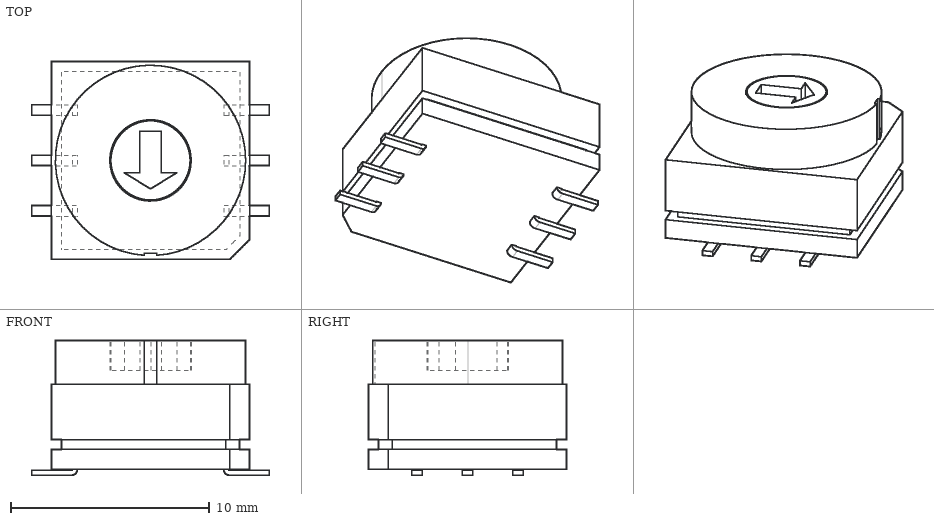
import cadquery as cq

body_side = 10.0
corner_cut = 1.0
neck_inset = 0.5
neck_side = body_side - 2 * neck_inset
neck_corner_cut = corner_cut - neck_inset * (2 - 2 ** 0.5)

base_bottom = 0.3
base_top = 1.31
body_bottom = 1.8
body_top = 4.6
total_height = 6.8

knob_diameter = 9.6
notch_width = 0.61
notch_depth = 0.12

bore_diameter = 4.1
rotor_diameter = 4.0
ring_groove_depth = 1.5

arrow_depth = ring_groove_depth
arrow_tail_y = 1.46
arrow_shoulder_y = -0.62
arrow_tip_y = -1.44
arrow_shaft_width = 1.1
arrow_head_width = 2.64

lead_span = 12
lead_inner_x = 3.68
lead_width = 0.54
lead_thickness = 0.26
lead_bend_radius = base_bottom
lead_pitch = 2.55
leads_per_side = 3


def housing_plate(side, cut, bottom, top):
    """Square plate whose +X -Y vertical edge is chamfered."""
    return (
        cq.Workplane("XY")
        .workplane(offset=bottom)
        .rect(side, side)
        .extrude(top - bottom)
        .edges("|Z and >X and <Y")
        .chamfer(cut)
    )


def knob():
    """Round knob with the rim notch along its full height."""
    height = total_height - body_top
    disc = cq.Workplane("XY").workplane(offset=body_top).circle(knob_diameter / 2).extrude(height)
    notch = (
        cq.Workplane("XY")
        .workplane(offset=body_top)
        .center(0, -knob_diameter / 2)
        .rect(notch_width, 2 * notch_depth)
        .extrude(height)
    )
    return disc.cut(notch)


def ring_groove():
    """Thin ring of clearance between the knob bore and the rotor."""
    return (
        cq.Workplane("XY")
        .workplane(offset=total_height)
        .circle(bore_diameter / 2)
        .circle(rotor_diameter / 2)
        .extrude(-ring_groove_depth)
    )


def arrow_slot():
    """Arrow pocket sunk into the rotor face."""
    half_shaft = arrow_shaft_width / 2
    half_head = arrow_head_width / 2
    outline = [
        (-half_shaft, arrow_tail_y),
        (half_shaft, arrow_tail_y),
        (half_shaft, arrow_shoulder_y),
        (half_head, arrow_shoulder_y),
        (0, arrow_tip_y),
        (-half_head, arrow_shoulder_y),
        (-half_shaft, arrow_shoulder_y),
    ]
    return cq.Workplane("XY").workplane(offset=total_height).polyline(outline).close().extrude(-arrow_depth)


def lead(y):
    """Lead on the +X side: a flat foot whose inner end bends up into the base."""
    outer_x = lead_span / 2
    leg_outer_x = lead_inner_x + lead_thickness
    return (
        cq.Workplane("XZ", origin=(0, y + lead_width / 2, 0))
        .moveTo(outer_x, 0)
        .lineTo(outer_x, lead_thickness)
        .lineTo(leg_outer_x, lead_thickness)
        .lineTo(leg_outer_x, base_top)
        .lineTo(lead_inner_x, base_top)
        .lineTo(lead_inner_x, lead_bend_radius)
        .radiusArc((lead_inner_x + lead_bend_radius, 0), -lead_bend_radius)
        .close()
        .extrude(lead_width)
    )


result = housing_plate(body_side, corner_cut, base_bottom, base_top)
result = result.union(housing_plate(neck_side, neck_corner_cut, base_top, body_bottom))
result = result.union(housing_plate(body_side, corner_cut, body_bottom, body_top))
result = result.union(knob()).cut(ring_groove()).cut(arrow_slot())

for index in range(leads_per_side):
    lead_y = (index - (leads_per_side - 1) / 2) * lead_pitch
    right_lead = lead(lead_y)
    result = result.union(right_lead).union(right_lead.mirror("YZ"))